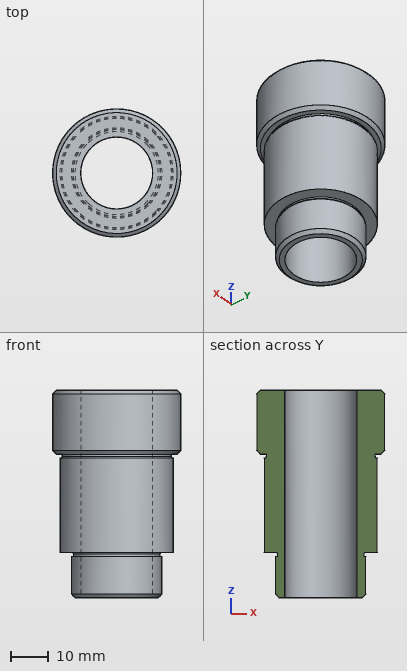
import cadquery as cq

total_length = 55.0
head_diameter = 34.0
body_diameter = 30.0
tip_diameter = 24.0
bore_diameter = 19.0
head_length = 17.0
tip_length = 12.0

head_chamfer = 1.0
tip_chamfer = 1.0
groove_width = 1.0
groove_depth = 0.5
groove_flare_height = 0.4
groove_flare_width = 0.15

head_bottom = total_length - head_length
body_bottom = tip_length


def cylinder(diameter, bottom, top):
    """Solid cylinder on the Z axis between two heights."""
    return cq.Workplane("XY").workplane(offset=bottom).circle(diameter / 2).extrude(top - bottom)


def relief_groove(diameter, top, flare_at_top):
    """Ring that cuts a groove below a shoulder, with a floor that flares outward at one end."""
    bottom = top - groove_width
    floor_radius = diameter / 2 - groove_depth
    flare_radius = floor_radius + groove_flare_width
    outer_radius = diameter / 2
    if flare_at_top:
        floor_points = [
            (floor_radius, bottom),
            (floor_radius, top - groove_flare_height),
            (flare_radius, top),
        ]
    else:
        floor_points = [
            (flare_radius, bottom),
            (floor_radius, bottom + groove_flare_height),
            (floor_radius, top),
        ]
    section = floor_points + [(outer_radius, top), (outer_radius, bottom)]
    return cq.Workplane("XZ").polyline(section).close().revolve(360, (0, 0, 0), (0, 1, 0))


head = cylinder(head_diameter, head_bottom, total_length).edges().chamfer(head_chamfer)
body = cylinder(body_diameter, body_bottom, head_bottom)
tip = cylinder(tip_diameter, 0, body_bottom).faces("<Z").edges().chamfer(tip_chamfer)

body = body.cut(relief_groove(body_diameter, head_bottom, flare_at_top=False))
tip = tip.cut(relief_groove(tip_diameter, body_bottom, flare_at_top=True))

bore = cylinder(bore_diameter, 0, total_length)
result = head.union(body).union(tip).cut(bore)